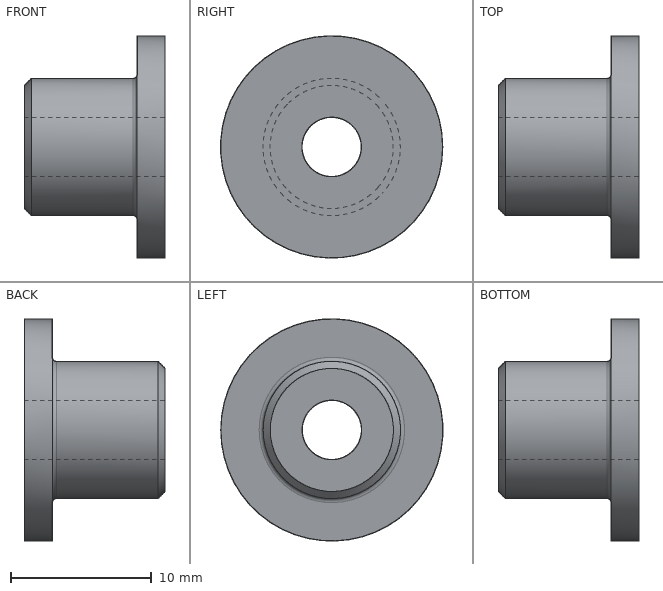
import cadquery as cq

flange_diameter = 15.8
flange_thickness = 1.99
total_length = 10.0
body_diameter = 9.76
bore_diameter = 4.2
tip_chamfer = 0.5
root_fillet = 0.28

flange_radius = flange_diameter / 2
body_radius = body_diameter / 2
bore_radius = bore_diameter / 2
flange_face_x = total_length - flange_thickness

section = (
    cq.Workplane("XY")
    .moveTo(0, bore_radius)
    .lineTo(0, body_radius - tip_chamfer)
    .lineTo(tip_chamfer, body_radius)
    .lineTo(flange_face_x - root_fillet, body_radius)
    .radiusArc((flange_face_x, body_radius + root_fillet), -root_fillet)
    .lineTo(flange_face_x, flange_radius)
    .lineTo(total_length, flange_radius)
    .lineTo(total_length, bore_radius)
    .close()
)

result = section.revolve(360, (0, 0, 0), (1, 0, 0))